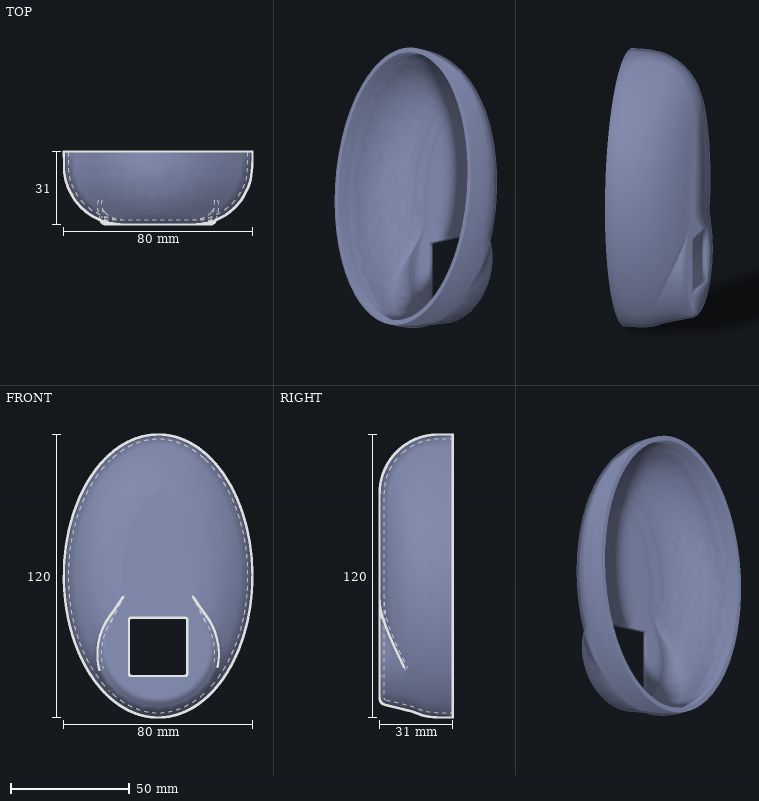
import cadquery as cq
import math

HALF_WIDTH = 40.0
HALF_HEIGHT = 60.0
DEPTH = 31.04
FRONT_ROUND = 25.0
WALL = 2.0

BOSS_Z = -30.0
BOSS_RADIUS = 24.0
BOSS_TIP_Z = -8.2
BOSS_TIP_OVERLAP = 0.2
BOSS_DRAFT = 14.0
BOSS_LENGTH = 20.0
BOSS_EDGE_ROUND = 3.0

WINDOW_SIZE = 24.5
WINDOW_CORNER = 0.7

CLEARANCE = 1.0

FLAT_HALF_WIDTH = HALF_WIDTH - FRONT_ROUND
FLAT_HALF_HEIGHT = HALF_HEIGHT - FRONT_ROUND
FLAT_EDGE_X = FLAT_HALF_WIDTH * math.sqrt(1 - (BOSS_TIP_Z / FLAT_HALF_HEIGHT) ** 2)
BOSS_TIP_X = FLAT_EDGE_X - BOSS_TIP_OVERLAP
TIP_DISTANCE = math.hypot(BOSS_TIP_X, BOSS_TIP_Z - BOSS_Z)
TIP_ANGLE = math.atan2(BOSS_TIP_Z - BOSS_Z, BOSS_TIP_X)
DRAFT_ANGLE = math.radians(BOSS_DRAFT)


def tangent_angle(radius):
    """Angle on a circle about the boss center where the tangent line runs to the flank tip."""
    return TIP_ANGLE - math.acos(radius / TIP_DISTANCE)


def egg(inset):
    """Elliptical block with a rounded front, inset on every side but the back."""
    block = (
        cq.Workplane("XZ")
        .ellipse(HALF_WIDTH - inset, HALF_HEIGHT - inset)
        .extrude(DEPTH - inset)
    )
    return block.faces("<Y").edges().fillet(FRONT_ROUND - inset)


def drafted_boss(radius, front_y, length):
    """Boss with sharp edges; its face lies at front_y and its flanks widen toward the back."""
    angle = tangent_angle(radius)
    tangent_x = radius * math.cos(angle)
    tangent_z = radius * math.sin(angle)
    tip_z = BOSS_TIP_Z - BOSS_Z
    return (
        cq.Workplane("XZ", origin=(0, front_y, BOSS_Z))
        .moveTo(BOSS_TIP_X, tip_z)
        .lineTo(tangent_x, tangent_z)
        .threePointArc((0, -radius), (-tangent_x, tangent_z))
        .lineTo(-BOSS_TIP_X, tip_z)
        .close()
        .extrude(-length, taper=-BOSS_DRAFT)
    )


def edge_cutters(radius, front_y, edge_round):
    """Waste outside the rounded face edge: around the round end, then straight to the tips."""
    setback = edge_round * math.tan((math.pi / 2 - DRAFT_ANGLE) / 2)
    face_radius = radius - setback
    flank_radius = radius + setback * math.sin(DRAFT_ANGLE)
    flank_depth = setback * math.cos(DRAFT_ANGLE)
    arc_middle_angle = (math.pi / 2 + DRAFT_ANGLE) / 2
    arc_middle = (
        face_radius + edge_round * math.cos(arc_middle_angle),
        edge_round * (1 - math.sin(arc_middle_angle)),
    )
    outside = flank_radius + CLEARANCE

    angle = tangent_angle(face_radius)
    section_plane = cq.Plane(
        origin=(0, front_y, BOSS_Z),
        xDir=(math.cos(angle), 0, math.sin(angle)),
        normal=(-math.sin(angle), 0, math.cos(angle)),
    )
    section = (
        cq.Workplane(section_plane)
        .moveTo(face_radius, 0)
        .threePointArc(arc_middle, (flank_radius, flank_depth))
        .lineTo(outside, flank_depth)
        .lineTo(outside, -CLEARANCE)
        .lineTo(face_radius, -CLEARANCE)
        .close()
    )
    straight_length = math.sqrt(TIP_DISTANCE**2 - face_radius**2)
    straight = section.extrude(straight_length, combine=False)
    bend_angle = 180 + 2 * math.degrees(angle)
    bend = section.toPending().revolve(bend_angle, (0, 0), (0, 1), combine=False)
    return [bend, straight, straight.mirror("YZ")]


def rounded_body(inset):
    """Egg and boss joined, all inset by the same wall distance."""
    flank_shift = inset * (1 / math.cos(DRAFT_ANGLE) - math.tan(DRAFT_ANGLE))
    radius = BOSS_RADIUS - flank_shift
    front_y = inset - DEPTH
    boss = drafted_boss(radius, front_y, BOSS_LENGTH - inset)
    for cutter in edge_cutters(radius, front_y, BOSS_EDGE_ROUND - inset):
        boss = boss.cut(cutter)
    return egg(inset).union(boss)


def window():
    """Square opening with rounded corners, cutting only the front wall."""
    return (
        cq.Workplane("XZ", origin=(0, 0, BOSS_Z))
        .rect(WINDOW_SIZE, WINDOW_SIZE)
        .extrude(DEPTH + CLEARANCE)
        .edges("|Y")
        .fillet(WINDOW_CORNER)
    )


result = rounded_body(0).cut(rounded_body(WALL)).cut(window())